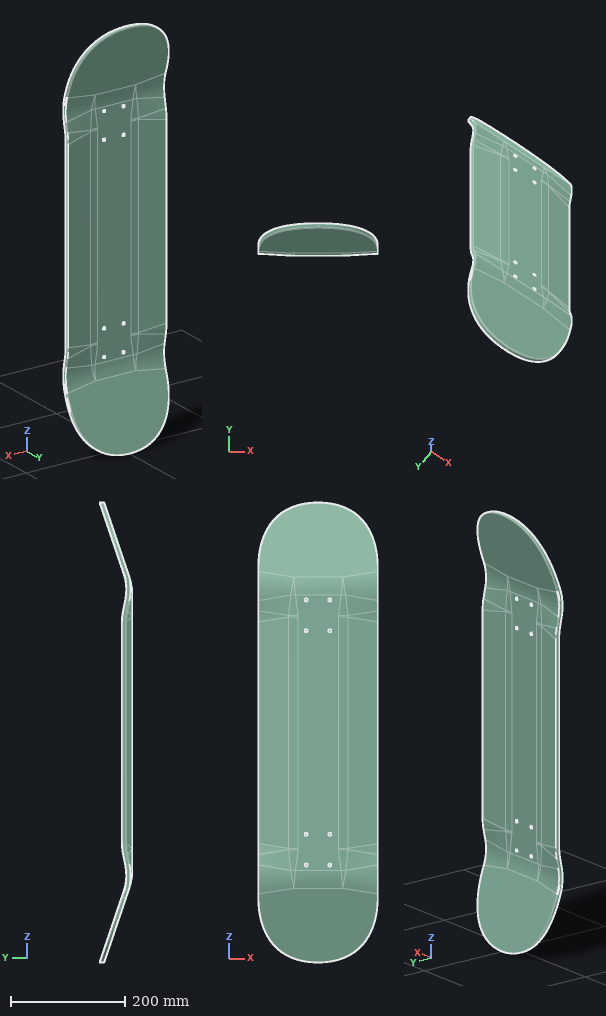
import cadquery as cq
import math

LENGTH = 804.53
WIDTH = 209.55
DEPTH = 57.35
THICKNESS = 8.0

KICK_ANGLE = math.radians(18.7)
WING_ANGLE = math.radians(10.0)
BEND_RADIUS = 98.0
CREASE_X = 43.6
RAMP_Z = 203.5

BLEND_INNER_X = 40.0
BLEND_OUTER_X = 48.0
BLEND_TIP_X = 42.7

OUTLINE_START_Z = 288.0
OUTLINE_SIDE_PULL = 67.0
OUTLINE_TIP_PULL = 70.0

HOLE_DIAMETER = 5.0
HOLE_SPACING_X = 41.275
HOLE_SPACING_Z = 53.975
OUTER_HOLE_Z = 231.8

RIM_RADIUS = 1.2

HOLE_CUT_START_Y = -THICKNESS
HOLE_CUT_DEPTH = 3 * THICKNESS
HALF_WIDTH = WIDTH / 2
HALF_LENGTH = LENGTH / 2
SKIN_X = HALF_WIDTH - RIM_RADIUS
SKIN_Z = HALF_LENGTH - RIM_RADIUS
RIM_CREST = RIM_RADIUS * (1 / math.cos(KICK_ANGLE) - 1)
KICK_RISE = DEPTH - RIM_CREST - THICKNESS / math.cos(KICK_ANGLE)
KICK_Z = SKIN_Z - KICK_RISE / math.tan(KICK_ANGLE)
RAMP_LENGTH = KICK_Z - RAMP_Z


def line(start, end):
    return cq.Edge.makeLine(cq.Vector(*start), cq.Vector(*end))


def curve(points):
    return cq.Edge.makeBezier([cq.Vector(*point) for point in points])


def arc(start, middle, end):
    return cq.Edge.makeThreePointArc(cq.Vector(*start), cq.Vector(*middle), cq.Vector(*end))


def ruled(first, second):
    return cq.Face.makeRuledSurface(first, second)


def flat(edges):
    return cq.Face.makeFromWires(cq.Wire.assembleEdges(edges))


def polygon(points):
    corners = [cq.Vector(*point) for point in points]
    return cq.Face.makeFromWires(cq.Wire.makePolygon(corners, close=True))


def rounded(*edges):
    """Smooth surface through the given edges."""
    return cq.occ_impl.shapes.loft(*edges)


def mirror_x(point):
    return (-point[0], point[1], point[2])


def mirror_z(point):
    return (point[0], point[1], -point[2])


def spread(corners, ends, sides):
    """Copy shapes to all four corners, both ends and both sides of the deck."""
    one_end = corners + [shape.mirror("YZ") for shape in corners] + ends
    both_ends = one_end + [shape.mirror("XY") for shape in one_end]
    return both_ends + sides + [shape.mirror("YZ") for shape in sides]


def bend(along, height, angle_in, angle_out, radius):
    """Start, middle and end of the arc rounding a fold, each as (along, height)."""
    half_turn = (angle_out - angle_in) / 2
    tangent = radius * math.tan(abs(half_turn))
    rounding = math.copysign(radius * (1 / math.cos(half_turn) - 1), half_turn)
    mean_angle = (angle_in + angle_out) / 2
    start = (along - tangent * math.cos(angle_in), height - tangent * math.sin(angle_in))
    middle = (along - rounding * math.sin(mean_angle), height + rounding * math.cos(mean_angle))
    end = (along + tangent * math.cos(angle_out), height + tangent * math.sin(angle_out))
    return start, middle, end


def make_skin(offset, inward):
    """Faces and border edges of the skin lying offset above the underside.

    inward is the Y direction, 1 or -1, from the skin into the deck.
    Bends that rise get tighter with the offset and bends that fall get wider,
    so both skins stay parallel.
    """
    rising_radius = BEND_RADIUS - offset
    falling_radius = BEND_RADIUS + offset
    kick_z = KICK_Z - offset * math.tan(KICK_ANGLE / 2)
    ramp_z = kick_z - RAMP_LENGTH
    crease_x = CREASE_X - offset * math.tan(WING_ANGLE / 2)
    crease = bend(crease_x, offset, 0, WING_ANGLE, rising_radius)

    def nose_point(x, z):
        return (x, offset + (z - kick_z) * math.tan(KICK_ANGLE), z)

    def wing_rise(x):
        return (x - crease_x) * math.tan(WING_ANGLE)

    def folds(x):
        """Rounded ramp and kick folds of the lengthwise section at x."""
        ramp_angle = -math.atan2(wing_rise(x), RAMP_LENGTH)
        ramp = bend(ramp_z, offset + wing_rise(x), 0, ramp_angle, falling_radius)
        kick = bend(kick_z, offset, ramp_angle, KICK_ANGLE, rising_radius)
        return ramp, kick

    def at(x, fold_point):
        z, y = fold_point
        return (x, y, z)

    inner_x, outer_x = crease[0][0], crease[2][0]
    inner_ramp, _ = folds(outer_x)
    edge_ramp, edge_kick = folds(SKIN_X)
    flat_kick = bend(kick_z, offset, 0, KICK_ANGLE, rising_radius)
    kick_start_z = flat_kick[0][0]
    blend_rise = wing_rise(BLEND_OUTER_X) * (kick_z - kick_start_z) / RAMP_LENGTH

    blend_end = at(BLEND_TIP_X, flat_kick[2])
    inner = [
        (inner_x, offset, inner_ramp[0][0]),
        (inner_x, offset, inner_ramp[2][0]),
        (BLEND_INNER_X, offset, kick_start_z),
    ]
    outer = [
        at(outer_x, inner_ramp[0]),
        at(outer_x, inner_ramp[2]),
        (BLEND_OUTER_X, offset + blend_rise, kick_start_z),
    ]
    edge_ramp_start = at(SKIN_X, edge_ramp[0])
    edge_kick_end = at(SKIN_X, edge_kick[2])

    inner_kick = arc(inner[2], at((BLEND_INNER_X + BLEND_TIP_X) / 2, flat_kick[1]), blend_end)
    outer_kick = arc(outer[2], at((BLEND_OUTER_X + BLEND_TIP_X) / 2, flat_kick[1]), blend_end)
    outer_rail = [line(outer[0], outer[1]), line(outer[1], outer[2]), outer_kick]

    def rim(reach, lift):
        """Corner and side edges of the border, moved outwards and in thickness."""
        side_x = SKIN_X + reach
        tip_z = SKIN_Z + reach
        side_end = nose_point(side_x, OUTLINE_START_Z)
        corner_edges = [
            arc(at(side_x, edge_ramp[0]), at(side_x, edge_ramp[1]), at(side_x, edge_ramp[2])),
            line(at(side_x, edge_ramp[2]), at(side_x, edge_kick[0])),
            arc(at(side_x, edge_kick[0]), at(side_x, edge_kick[1]), at(side_x, edge_kick[2])),
            line(at(side_x, edge_kick[2]), side_end),
            curve(
                [
                    side_end,
                    nose_point(side_x, OUTLINE_START_Z + OUTLINE_SIDE_PULL),
                    nose_point(OUTLINE_TIP_PULL, tip_z),
                    nose_point(0, tip_z),
                ]
            ),
        ]
        ramp_start = at(side_x, edge_ramp[0])
        side_edge = line(mirror_z(ramp_start), ramp_start)
        shift = cq.Vector(0, lift, 0)
        return [edge.translate(shift) for edge in corner_edges], [side_edge.translate(shift)]

    corner_rim, side_rim = rim(0, 0)

    arc_x, arc_y = crease[1]
    cross = [arc(inner[i], (arc_x, arc_y, inner[i][2]), outer[i]) for i in (0, 1)]
    cross.append(line(inner[2], outer[2]))
    corner_faces = [ruled(first, second) for first, second in zip(cross, cross[1:])]
    corner_faces.append(ruled(inner_kick, outer_kick))
    corner_faces += [ruled(first, second) for first, second in zip(outer_rail, corner_rim)]

    nose_half = [line(blend_end, edge_kick_end)] + corner_rim[3:]
    nose = nose_half + [side.mirror("YZ") for side in nose_half]
    nose.append(line(mirror_x(blend_end), blend_end))
    end_faces = [ruled(inner_kick.mirror("YZ"), inner_kick), flat(nose)]

    middle_cross = cross[0].mirror("XY")
    side_faces = [
        ruled(middle_cross, cross[0]),
        polygon([mirror_z(outer[0]), mirror_z(edge_ramp_start), edge_ramp_start, outer[0]]),
    ]

    right_side = [mirror_z(point) for point in reversed(inner)] + inner
    left_side = [mirror_x(point) for point in reversed(right_side)]

    turn = math.radians(45)
    half_reach = RIM_RADIUS * math.sin(turn)
    half_lift = inward * RIM_RADIUS * (1 - math.cos(turn))
    corner_half, side_half = rim(half_reach, half_lift)
    corner_border, side_border = rim(RIM_RADIUS, inward * RIM_RADIUS)
    corner_faces += [rounded(*edges) for edges in zip(corner_rim, corner_half, corner_border)]
    side_faces += [rounded(*edges) for edges in zip(side_rim, side_half, side_border)]

    faces = spread(corner_faces, end_faces, side_faces) + [polygon(right_side + left_side)]
    return faces, spread(corner_border, [], side_border)


def make_deck():
    """Undrilled deck, closed by upright sides between the two skins."""
    lower_faces, lower_border = make_skin(0, inward=1)
    upper_faces, upper_border = make_skin(THICKNESS, inward=-1)
    sides = [ruled(lower, upper) for lower, upper in zip(lower_border, upper_border)]
    shell = cq.Shell.makeShell(lower_faces + upper_faces + sides)
    return cq.Workplane(cq.Solid.makeSolid(shell).fix())


def make_truck_holes():
    """Two patterns of four holes through the flat centre."""
    row_distances = (OUTER_HOLE_Z, OUTER_HOLE_Z - HOLE_SPACING_Z)
    centres = [
        (side * HOLE_SPACING_X / 2, end * distance)
        for side in (-1, 1)
        for end in (-1, 1)
        for distance in row_distances
    ]
    return (
        cq.Workplane("XZ", origin=(0, HOLE_CUT_START_Y, 0))
        .pushPoints(centres)
        .circle(HOLE_DIAMETER / 2)
        .extrude(-HOLE_CUT_DEPTH)
    )


result = make_deck().cut(make_truck_holes()).solids()